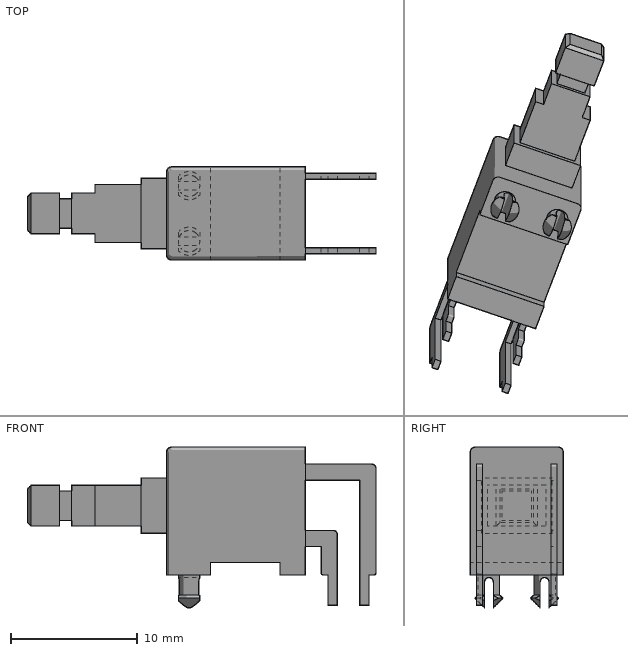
import cadquery as cq


BODY_LENGTH = 11.0
BODY_WIDTH = 7.4
BODY_HEIGHT = 10.15
BODY_FILLET = 0.45
NOTCH_START = 3.5
NOTCH_END = 9.0
NOTCH_HEIGHT = 1.0

PLUNGER_AXIS_Z = 5.5
COLLAR_LENGTH = 2.0
COLLAR_WIDTH = 5.6
COLLAR_HEIGHT = 4.4
SHAFT_LENGTH = 3.65
SHAFT_WIDTH = 4.6
PLUNGER_SIDE = 3.25
STEM_LENGTH = 1.85
NECK_LENGTH = 0.95
NECK_SIDE = 2.35
CAP_LENGTH = 2.55
CAP_CHAMFER = 0.3

PEG_X = 1.8
PEG_OFFSET_Y = 2.2
PEG_RADIUS = 1.7 / 2
PEG_SLOT_WIDTH = 0.68
PEG_SLOT_GAP = 0.2
PEG_DEPTH = 2.6
BARB_RADIUS = 1.12
BARB_TOP_DEPTH = 1.57
BARB_RIM_DEPTH = PEG_DEPTH - (BARB_RADIUS - PEG_SLOT_WIDTH / 2)
CONE_APEX_DEPTH = BARB_RIM_DEPTH + BARB_RADIUS

LEAD_THICKNESS = 0.5
LEAD_OFFSET_Y = 2.95
LEAD_WIDTH = 1.3
LEAD_TIP_WIDTH = 0.75
LEAD_TIP_DEPTH = 2.4
LEAD_BEND_CORNER = 0.35
LEAD_SHOULDER_CORNER = 0.2
UPPER_LEAD_TOP_Z = 8.8
LOWER_LEAD_TOP_Z = 3.55
LOWER_LEAD_END_X = 13.55
OVERALL_LENGTH = 27.61
PLUNGER_LENGTH = COLLAR_LENGTH + SHAFT_LENGTH + STEM_LENGTH + NECK_LENGTH + CAP_LENGTH
UPPER_LEAD_END_X = OVERALL_LENGTH - PLUNGER_LENGTH


def make_housing():
    """Block rounded at the top and front, with a notch across the underside."""
    block = cq.Workplane("XY").box(BODY_LENGTH, BODY_WIDTH, BODY_HEIGHT, centered=(False, True, False))
    block = block.edges("(|X and >Z) or (|Z and <X) or (|Y and >Z and <X)").fillet(BODY_FILLET)
    notch = (
        cq.Workplane("XY")
        .box(NOTCH_END - NOTCH_START, BODY_WIDTH, NOTCH_HEIGHT, centered=(False, True, False))
        .translate((NOTCH_START, 0, 0))
    )
    return block.cut(notch)


def plunger_section(base_x, length, width, height):
    """Rectangular plunger segment running from base_x toward -X."""
    return (
        cq.Workplane("XY")
        .box(length, width, height)
        .translate((base_x - length / 2, 0, PLUNGER_AXIS_Z))
    )


def make_plunger():
    """Stepped plunger: collar, wide shaft, square stem, neck and chamfered cap."""
    sections = [
        (COLLAR_LENGTH, COLLAR_WIDTH, COLLAR_HEIGHT),
        (SHAFT_LENGTH, SHAFT_WIDTH, PLUNGER_SIDE),
        (STEM_LENGTH, PLUNGER_SIDE, PLUNGER_SIDE),
        (NECK_LENGTH, NECK_SIDE, NECK_SIDE),
    ]
    plunger = cq.Workplane("XY")
    base_x = 0
    for length, width, height in sections:
        plunger = plunger.union(plunger_section(base_x, length, width, height))
        base_x -= length
    cap = plunger_section(base_x, CAP_LENGTH, PLUNGER_SIDE, PLUNGER_SIDE)
    return plunger.union(cap.faces("<X").chamfer(CAP_CHAMFER))


def make_peg(center_y):
    """Round barbed peg, split by a round-ended slot along X and flattened at the barb's X sides."""
    peg = (
        cq.Workplane("XZ")
        .moveTo(0, 0)
        .lineTo(PEG_RADIUS, 0)
        .lineTo(PEG_RADIUS, -BARB_TOP_DEPTH)
        .lineTo(BARB_RADIUS, -BARB_RIM_DEPTH)
        .lineTo(0, -CONE_APEX_DEPTH)
        .close()
        .revolve(360, (0, 0, 0), (0, 1, 0))
    )
    flats = (
        cq.Workplane("XY")
        .box(2 * PEG_RADIUS, 2 * BARB_RADIUS, CONE_APEX_DEPTH)
        .translate((0, 0, -CONE_APEX_DEPTH / 2))
    )
    slot_half = PEG_SLOT_WIDTH / 2
    slot_spring_z = -PEG_SLOT_GAP - slot_half
    slot = (
        cq.Workplane("YZ")
        .moveTo(-slot_half, -CONE_APEX_DEPTH)
        .lineTo(-slot_half, slot_spring_z)
        .threePointArc((0, -PEG_SLOT_GAP), (slot_half, slot_spring_z))
        .lineTo(slot_half, -CONE_APEX_DEPTH)
        .close()
        .extrude(BARB_RADIUS, both=True)
    )
    return peg.intersect(flats).cut(slot).translate((PEG_X, center_y, 0))


def make_lead(center_y, top_z, end_x, tip_at_outer_edge):
    """Lead leaving the back face, bending down and narrowing to a tip at Z = 0."""
    inner_x = end_x - LEAD_WIDTH
    plate = (
        cq.Workplane("XZ")
        .moveTo(BODY_LENGTH, top_z)
        .lineTo(end_x, top_z)
        .lineTo(end_x, 0)
        .lineTo(inner_x, 0)
        .lineTo(inner_x, top_z - LEAD_WIDTH)
        .lineTo(BODY_LENGTH, top_z - LEAD_WIDTH)
        .close()
        .extrude(LEAD_THICKNESS / 2, both=True)
    )
    plate = plate.edges("|Y and >X and >Z").fillet(LEAD_BEND_CORNER)
    shoulder_edge = cq.selectors.NearestToPointSelector((inner_x if tip_at_outer_edge else end_x, 0, 0))
    plate = plate.edges("|Y").edges(shoulder_edge).fillet(LEAD_SHOULDER_CORNER)
    tip_x = end_x - LEAD_TIP_WIDTH if tip_at_outer_edge else inner_x
    tip = (
        cq.Workplane("XY")
        .box(LEAD_TIP_WIDTH, LEAD_THICKNESS, LEAD_TIP_DEPTH, centered=(False, True, False))
        .translate((tip_x, 0, -LEAD_TIP_DEPTH))
    )
    return plate.union(tip).translate((0, center_y, 0))


result = make_housing().union(make_plunger())
for side in (-1, 1):
    result = result.union(make_peg(side * PEG_OFFSET_Y))
    lead_y = side * LEAD_OFFSET_Y
    result = result.union(make_lead(lead_y, UPPER_LEAD_TOP_Z, UPPER_LEAD_END_X, False))
    result = result.union(make_lead(lead_y, LOWER_LEAD_TOP_Z, LOWER_LEAD_END_X, True))